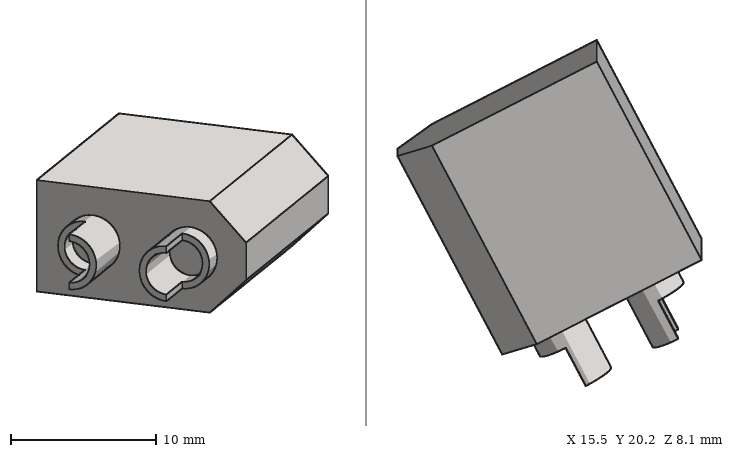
import cadquery as cq

total_length = 20.2
body_width = 15.5
body_height = 8.1
corner_chamfer = 2.69
cup_length = 4.5
collar_length = 1.5
cup_diameter = 4.0
bore_diameter = 3.0
cup_spacing = 7.2
first_cup_x = 4.16

body_length = total_length - cup_length
cut_length = cup_length - collar_length
bore_depth = cup_length


def make_body():
    """Housing block with its front face at Y = 0 and two bevelled +X edges."""
    block = cq.Workplane("XY").box(
        body_width, body_length, body_height, centered=(False, False, True)
    )
    return block.edges("|Y and >X").chamfer(corner_chamfer)


def cylinder_from_tip(center_x, diameter, length):
    """Cylinder along +Y starting at the free end of a solder cup."""
    tip_plane = cq.Workplane("XZ", origin=(center_x, -cup_length, 0))
    return tip_plane.circle(diameter / 2).extrude(-length)


def make_cup(center_x, open_side):
    """Solder cup: a full collar, then a half tube open towards open_side (+1 or -1)."""
    cup = cylinder_from_tip(center_x, cup_diameter, cup_length)
    opening = (
        cq.Workplane("XY")
        .box(cup_diameter, cut_length, cup_diameter)
        .translate((center_x + open_side * cup_diameter / 2, cut_length / 2 - cup_length, 0))
    )
    return cup.cut(opening)


result = make_body()
cups = ((first_cup_x, -1), (first_cup_x + cup_spacing, 1))
for cup_x, open_side in cups:
    result = result.union(make_cup(cup_x, open_side))
    result = result.cut(cylinder_from_tip(cup_x, bore_diameter, bore_depth))